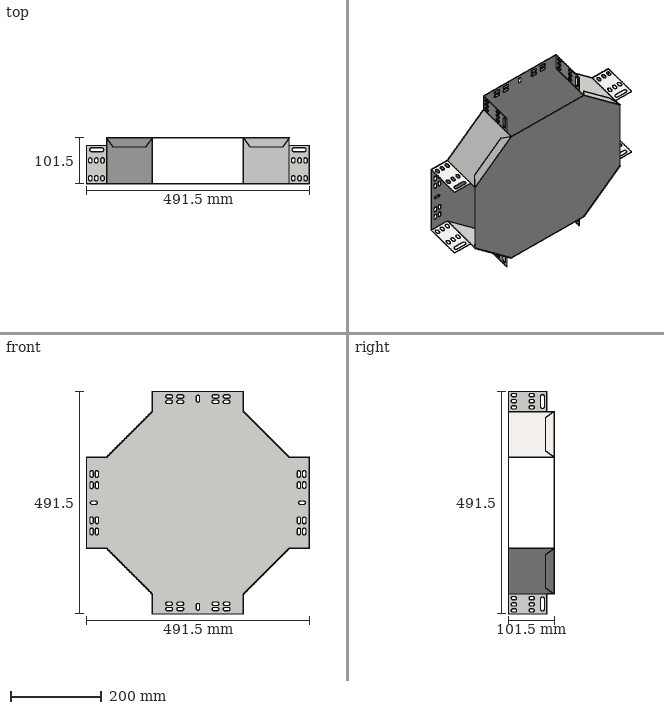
import cadquery as cq
import math

sheet = 0.8
span = 491.5
total_depth = 101.5
half_arm = 100.5
wall_corner = 201.0
tab_depth = 85.0
flap_depth = 20.0

slot_width = 7.0
base_slot_length = 14.5
base_slot_offsets = (39.0, 63.5)
base_slot_insets = (11.5, 23.0)
centre_slot_inset = 16.0
tab_slot_length = 11.5
tab_slot_depths = (12.5, 51.5)
tab_slot_insets = (8.5, 21.5, 35.5)
long_slot_length = 30.5
long_slot_width = 8.5
long_slot_depth = 75.0
long_slot_inset = 22.5

half_span = span / 2
tab_length = half_span - wall_corner
wall_depth = total_depth - sheet
wall_length = math.sqrt(2) * (wall_corner - half_arm)
wall_distance = (wall_corner + half_arm) / math.sqrt(2)
inner_shift = (math.sqrt(2) - 1) * sheet
quarter_turns = (0, 90, 180, 270)


def turned(body, angle):
    """Turn a body about the tray's central Y axis."""
    return body.rotate((0, 0, 0), (0, 1, 0), angle)


def plate(points, front, thickness):
    """Flat plate in the XZ plane that starts at y = front and grows toward +Y."""
    outline = cq.Workplane("XZ", origin=(0, front, 0)).polyline(points).close()
    return outline.extrude(-thickness)


def four_fold(quarter_points):
    """Repeat the outline points of one quarter around all four quarters."""
    points = list(quarter_points)
    for _ in range(3):
        quarter_points = [(-z, x) for x, z in quarter_points]
        points.extend(quarter_points)
    return points


def base_slots():
    """Slot cutters for the base at the +X arm."""
    places = [
        (half_span - inset, side * offset)
        for inset in base_slot_insets
        for offset in base_slot_offsets
        for side in (-1, 1)
    ]
    face = cq.Workplane("XZ")
    pairs = face.pushPoints(places).slot2D(base_slot_length, slot_width, 90).extrude(-sheet)
    centre = face.center(half_span - centre_slot_inset, 0).slot2D(base_slot_length, slot_width)
    return pairs.union(centre.extrude(-sheet))


def tab():
    """Slotted connection tab on the upper side of the +X arm."""
    blank = cq.Workplane("XY").box(tab_length, tab_depth, sheet, centered=False)
    blank = blank.translate((wall_corner, 0, half_arm - sheet))
    places = [(half_span - inset, depth) for inset in tab_slot_insets for depth in tab_slot_depths]
    face = cq.Workplane("XY", origin=(0, 0, half_arm - sheet))
    short_slots = face.pushPoints(places).slot2D(tab_slot_length, slot_width, 90).extrude(sheet)
    long_slot = face.center(half_span - long_slot_inset, long_slot_depth)
    long_slot = long_slot.slot2D(long_slot_length, long_slot_width).extrude(sheet)
    return blank.cut(short_slots).cut(long_slot)


def diagonal_wall():
    """Wall along the diagonal edge between the +X and +Z arms, mitred to the tabs at both ends."""
    edge = [
        (wall_corner, half_arm),
        (half_arm, wall_corner),
        (half_arm - sheet, wall_corner),
        (half_arm - sheet, wall_corner - inner_shift),
        (wall_corner - inner_shift, half_arm - sheet),
        (wall_corner, half_arm - sheet),
    ]
    return plate(edge, 0, wall_depth)


def make_tray():
    """Cross-shaped base with four diagonal walls and two tabs per arm."""
    outline = four_fold([
        (wall_corner, -half_arm),
        (half_span, -half_arm),
        (half_span, half_arm),
        (wall_corner, half_arm),
    ])
    tray = plate(outline, 0, sheet)
    upper_tab = tab()
    lower_tab = upper_tab.mirror("XY")
    wall = diagonal_wall()
    slots = base_slots()
    for angle in quarter_turns:
        tray = tray.cut(turned(slots, angle))
        for piece in (upper_tab, lower_tab, wall):
            tray = tray.union(turned(piece, angle))
    return tray


def flap():
    """Flap that lies on the outside of one diagonal wall; below the plate its ends taper at 45 degrees."""
    half_length = wall_length / 2
    flap_tip = total_depth - flap_depth
    half_tip_length = half_length - (wall_depth - flap_tip)
    profile = [
        (-half_length, total_depth),
        (half_length, total_depth),
        (half_length, wall_depth),
        (half_tip_length, flap_tip),
        (-half_tip_length, flap_tip),
        (-half_length, wall_depth),
    ]
    flat = cq.Workplane("XY", origin=(0, 0, wall_distance)).polyline(profile).close().extrude(sheet)
    return turned(flat, 45)


def make_cover():
    """Octagonal cover plate with a flap along each diagonal edge."""
    outline = four_fold([(wall_corner, -half_arm), (wall_corner, half_arm)])
    cover = plate(outline, wall_depth, sheet)
    side_flap = flap()
    for angle in quarter_turns:
        cover = cover.union(turned(side_flap, angle))
    return cover


tray = make_tray()
cover = make_cover()
result = cq.Compound.makeCompound([tray.val(), cover.val()])